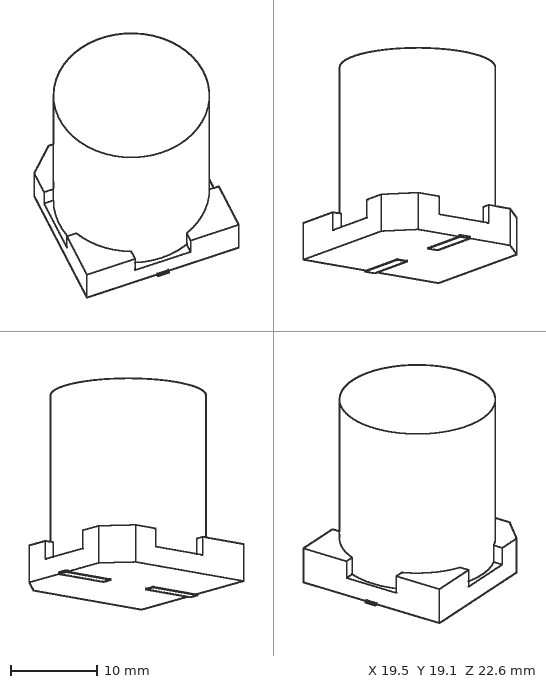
import cadquery as cq

total_height = 22.55
base_side = 19.1
can_diameter = 18.14

lead_standoff = 0.1
base_top = 4.51
base_corner_cut = 3.07
notch_width = 6.97
seat_height = 2.35

lead_length = 6.63
lead_width = 1.4
lead_thickness = 0.25
lead_overhang = 0.2


def make_lead(side):
    """Flat lead strip on the -X (side = -1) or +X (side = 1) edge."""
    outer_end = base_side / 2 + lead_overhang
    center_x = side * (outer_end - lead_length / 2)
    return (
        cq.Workplane("XY")
        .center(center_x, 0)
        .rect(lead_length, lead_width)
        .extrude(lead_thickness)
    )


def make_can():
    """Cylindrical can standing on the recess floor of the base."""
    return (
        cq.Workplane("XY")
        .workplane(offset=seat_height)
        .circle(can_diameter / 2)
        .extrude(total_height - seat_height)
    )


def make_base(can, leads):
    """Square base with a can recess, four wall notches and lead slots."""
    base = (
        cq.Workplane("XY")
        .workplane(offset=lead_standoff)
        .rect(base_side, base_side)
        .extrude(base_top - lead_standoff)
        .edges("|Z and <X")
        .chamfer(base_corner_cut)
    )

    notch_plane = cq.Workplane("XY").workplane(offset=seat_height)
    notch_depth = base_top - seat_height
    base = base.cut(notch_plane.rect(notch_width, base_side).extrude(notch_depth))
    base = base.cut(notch_plane.rect(base_side, notch_width).extrude(notch_depth))

    base = base.cut(can)
    for lead in leads:
        base = base.cut(lead)
    return base


can = make_can()
leads = [make_lead(side) for side in (-1, 1)]
base = make_base(can, leads)

result = cq.Compound.makeCompound([base.val(), can.val(), *[lead.val() for lead in leads]])